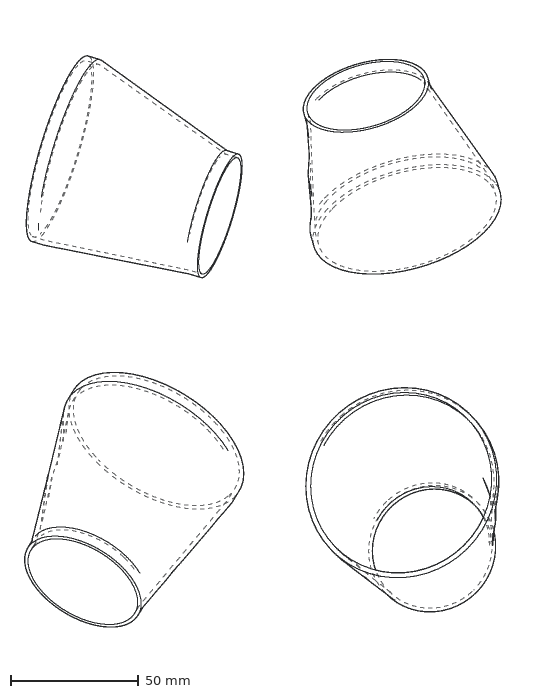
import cadquery as cq

total_length = 67.0
collar_length = 5.0
large_outer_diameter = 76.3
large_inner_diameter = 72.3
small_outer_diameter = 50.8
small_inner_diameter = 47.8

small_end_drop = (large_outer_diameter - small_outer_diameter) / 2
taper_length = total_length - 2 * collar_length
small_collar_start = total_length - collar_length


def collar(x_start, center_z, diameter):
    """Straight cylinder at one end of the reducer."""
    return (
        cq.Workplane("YZ", origin=(x_start, 0, center_z))
        .circle(diameter / 2)
        .extrude(collar_length)
    )


def reducer_body(large_diameter, small_diameter):
    """Solid body: large collar, eccentric taper and small collar."""
    taper = (
        cq.Workplane("YZ", origin=(collar_length, 0, 0))
        .circle(large_diameter / 2)
        .workplane(offset=taper_length)
        .center(0, -small_end_drop)
        .circle(small_diameter / 2)
        .loft(ruled=True)
    )
    large_collar = collar(0, 0, large_diameter)
    small_collar = collar(small_collar_start, -small_end_drop, small_diameter)
    return large_collar.union(taper).union(small_collar)


outer_body = reducer_body(large_outer_diameter, small_outer_diameter)
bore = reducer_body(large_inner_diameter, small_inner_diameter)
result = outer_body.cut(bore)